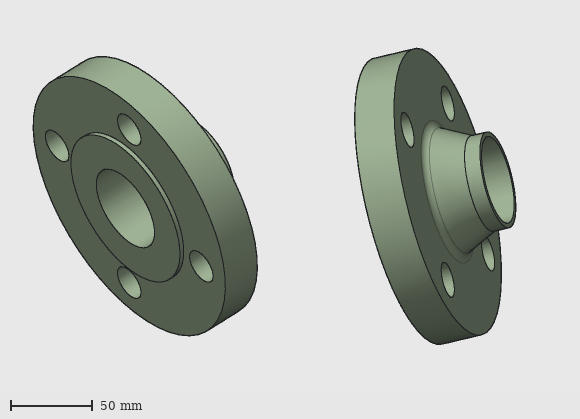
import cadquery as cq

flange_diameter = 180.0
flange_thickness = 26.0
face_diameter = 102.0
face_height = 3.0
bore_diameter = 54.5
overall_length = 62.0
neck_diameter = 60.3
neck_straight_length = 10.0
hub_base_diameter = 82.0
hub_fillet_radius = 6.0
bolt_circle_diameter = 135.0
bolt_hole_diameter = 22.0
bolt_count = 4

flange_front = face_height
flange_back = flange_front + flange_thickness
cone_end = overall_length - neck_straight_length


def revolved_body():
    """Raised face, flange disc, conical hub and straight neck as one revolved profile."""
    profile = [
        (0, 0),
        (face_diameter / 2, 0),
        (face_diameter / 2, flange_front),
        (flange_diameter / 2, flange_front),
        (flange_diameter / 2, flange_back),
        (hub_base_diameter / 2, flange_back),
        (neck_diameter / 2, cone_end),
        (neck_diameter / 2, overall_length),
        (0, overall_length),
    ]
    return cq.Workplane("ZY").polyline(profile).close().revolve(360, (0, 0, 0), (0, 1, 0))


def fillet_hub_root(body):
    """Round the inside corner where the conical hub meets the flange back."""
    margin = 0.2
    root_box = cq.selectors.BoxSelector(
        (-hub_base_diameter / 2 - margin, flange_back - margin, -hub_base_diameter / 2 - margin),
        (hub_base_diameter / 2 + margin, flange_back + margin, hub_base_diameter / 2 + margin),
        boundingbox=True,
    )
    return body.edges(root_box).fillet(hub_fillet_radius)


def through_holes():
    """Central bore and the ring of bolt holes, with one bolt hole on the X axis."""
    plane = cq.Workplane("XZ")
    bore = plane.circle(bore_diameter / 2).extrude(-overall_length)
    bolt_holes = (
        plane.polarArray(bolt_circle_diameter / 2, 0, 360, bolt_count)
        .circle(bolt_hole_diameter / 2)
        .extrude(-flange_back)
    )
    return bore.union(bolt_holes)


result = fillet_hub_root(revolved_body()).cut(through_holes())